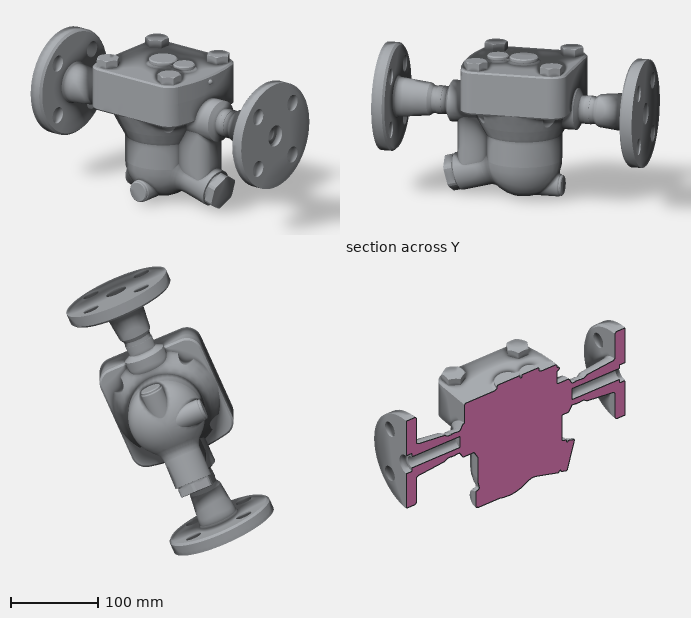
import cadquery as cq
import math


INLET_FACE_X = -144.5
OUTLET_FACE_X = 164.5
FLANGE_DIAMETER = 125.0
FLANGE_THICKNESS = 15.0
FLANGE_EDGE_CHAMFER = 2.5
BOLT_CIRCLE_DIAMETER = 88.9
BOLT_HOLE_DIAMETER = 19.0
NECK_ROOT_RADIUS = 24.5
NECK_LARGE_RADIUS = 23.0
NECK_SMALL_RADIUS = 19.0
NECK_ROOT_LENGTH = 2.2
NECK_TAPER_LENGTH = 36.7
NECK_SHOULDER_LENGTH = 4.5
PIPE_RADIUS = 16.0
WELD_RADIUS = 16.5
WELD_WIDTH = 6.4
WELD_GAP = 5.2
BOSS_RADIUS = 24.0
INLET_BOSS_END = 69.0
OUTLET_BOSS_END = 89.4
BOSS_CHAMFER_LENGTH = 4.6
SOCKET_DIAMETER = 25.0
SOCKET_DEPTH = 8.0
BORE_DIAMETER = 15.0

BLOCK_HALF_WIDTH = 62.5
BLOCK_CORNER_RADIUS = 17.5
COVER_CREST_X = 68.8
BLOCK_CREST_X = 67.0
COVER_TOP_Z = 52.0
SPLIT_Z = 30.0
BLOCK_BOTTOM_Z = 1.0
COVER_EDGE_CHAMFER = 1.8
BLOCK_EDGE_CHAMFER = 2.2

BOLT_OFFSET = 45.0
BOLT_ACROSS_FLATS = 24.0
BOLT_HEAD_HEIGHT = 9.3
BOLT_CHAMFER_ANGLE = math.radians(30)
BOLT_CUT_RADIUS = 10.0
BOLT_CUT_DEPTH = 30.0

CAP_HEIGHT = 6.4
CAP_RIM_CHAMFER = 1.3
CAP_FLARE = 3.2
MAIN_CAP_RADIUS = 16.5
SIDE_CAP_RADIUS = 12.5
SIDE_CAP_X = 30.7
CAP_BRIDGE_WIDTH = 14.0
CAP_BRIDGE_HEIGHT = 2.5

PIN_RADIUS = 3.0
PIN_Z = 44.5

BOWL_RADIUS = 44.0
BOWL_CENTRE_Z = -62.5
BOWL_TOP_Z = -32.5
CONE_MID_Z = -18.7
CONE_MID_RADIUS = 51.4
CONE_TOP_RADIUS = 62.4

RIB_WIDTH = 40.0
RIB_END_X = 75.9
RIB_EDGE_RADIUS = 11.5

STRAINER_TILT = 15.0
STRAINER_RADIUS = 22.0
STRAINER_LENGTH = 79.5
STRAINER_FILLET = 16.0
STRAINER_GROOVE_RADIUS = 19.0
STRAINER_GROOVE_WIDTH = 1.7
STRAINER_CAP_LENGTH = 10.0
STRAINER_CAP_ACROSS_FLATS = 38.0
STRAINER_CAP_CORNER_RADIUS = 21.0

PLUG_BOSS_RADIUS = 13.0
PLUG_BOSS_REACH = 44.0
PLUG_BOSS_ROUND = 1.9
PLUG_RADIUS = 12.0
PLUG_REACH = 46.7
PLUG_CHAMFER = 1.0
PLUG_Z = -91.8
INLET_PLUG_FILLET = 2.5


def pipe_end(face_x, boss_end_x):
    """Boss, weld neck and flange, from the block out to the flange face."""
    out = math.copysign(1, face_x)
    flange_back = abs(face_x) - FLANGE_THICKNESS
    taper_end = flange_back - NECK_ROOT_LENGTH
    taper_start = taper_end - NECK_TAPER_LENGTH
    shoulder_start = taper_start - NECK_SHOULDER_LENGTH
    weld_end = shoulder_start - WELD_GAP
    weld_start = weld_end - WELD_WIDTH
    flange_radius = FLANGE_DIAMETER / 2
    profile = [
        (0, 0),
        (0, BOSS_RADIUS),
        (boss_end_x - BOSS_CHAMFER_LENGTH, BOSS_RADIUS),
        (boss_end_x, PIPE_RADIUS),
        (weld_start, PIPE_RADIUS),
        (weld_start, WELD_RADIUS),
        (weld_end, WELD_RADIUS),
        (weld_end, PIPE_RADIUS),
        (shoulder_start, PIPE_RADIUS),
        (taper_start, NECK_SMALL_RADIUS),
        (taper_end, NECK_LARGE_RADIUS),
        (flange_back, NECK_ROOT_RADIUS),
        (flange_back, flange_radius - FLANGE_EDGE_CHAMFER),
        (flange_back + FLANGE_EDGE_CHAMFER, flange_radius),
        (abs(face_x), flange_radius),
        (abs(face_x), 0),
    ]
    points = [(out * x, r) for x, r in profile]
    return cq.Workplane("XZ").polyline(points).close().revolve(360, (0, 0, 0), (1, 0, 0))


def pipe_openings(face_x, boss_end_x):
    """Bolt holes, socket and bore of one flange, as a cutting solid."""
    out = math.copysign(1, face_x)
    face = cq.Workplane("YZ", origin=(face_x, 0, 0))
    pitch = BOLT_CIRCLE_DIAMETER / math.sqrt(2)
    holes = face.rect(pitch, pitch, forConstruction=True).vertices()
    holes = holes.circle(BOLT_HOLE_DIAMETER / 2).extrude(-out * FLANGE_THICKNESS)
    socket = face.circle(SOCKET_DIAMETER / 2).extrude(-out * SOCKET_DEPTH)
    bore = face.circle(BORE_DIAMETER / 2).extrude(-out * (abs(face_x) - boss_end_x))
    return holes.union(socket).union(bore)


def block_outline(z, crest_x):
    """Rounded square whose +X side bows out to crest_x, tangent to its corners."""
    half = BLOCK_HALF_WIDTH
    radius = BLOCK_CORNER_RADIUS
    corner = half - radius
    setback = crest_x - corner
    bow_radius = (setback ** 2 + corner ** 2 - radius ** 2) / (2 * (setback - radius))
    bow_angle = math.asin(corner / (bow_radius - radius))
    corner_angle = (math.pi / 2 + bow_angle) / 2
    shoulder_x = corner + radius * math.cos(bow_angle)
    shoulder_y = corner + radius * math.sin(bow_angle)
    corner_x = corner + radius * math.cos(corner_angle)
    corner_y = corner + radius * math.sin(corner_angle)
    diagonal = corner + radius * math.sqrt(0.5)
    return (
        cq.Workplane("XY", origin=(0, 0, z))
        .moveTo(-corner, -half)
        .lineTo(corner, -half)
        .threePointArc((corner_x, -corner_y), (shoulder_x, -shoulder_y))
        .threePointArc((crest_x, 0), (shoulder_x, shoulder_y))
        .threePointArc((corner_x, corner_y), (corner, half))
        .lineTo(-corner, half)
        .threePointArc((-diagonal, diagonal), (-half, corner))
        .lineTo(-half, -corner)
        .threePointArc((-diagonal, -diagonal), (-corner, -half))
        .close()
    )


def block():
    """Straight cover on a body whose +X side tapers inwards towards its base."""
    cover = block_outline(SPLIT_Z, COVER_CREST_X).extrude(COVER_TOP_Z - SPLIT_Z)
    cover = cover.faces(">Z").chamfer(COVER_EDGE_CHAMFER)
    upper = block_outline(SPLIT_Z, COVER_CREST_X).val()
    lower = block_outline(BLOCK_BOTTOM_Z, BLOCK_CREST_X).val()
    body = cq.Workplane(cq.Solid.makeLoft([upper, lower], True))
    body = body.faces("<Z").chamfer(BLOCK_EDGE_CHAMFER)
    return cover.union(body)


def cover_bolts():
    """Hexagon heads trimmed by a cone; diagonal neighbours share the same orientation."""
    cone_base_radius = BOLT_ACROSS_FLATS / 2 + BOLT_HEAD_HEIGHT / math.tan(BOLT_CHAMFER_ANGLE)
    bolts = cq.Workplane("XY")
    for sx in (-1, 1):
        for sy in (-1, 1):
            turn = 30 if sx == sy else 0
            hexagon = (
                cq.Workplane("XY", origin=(sx * BOLT_OFFSET, sy * BOLT_OFFSET, COVER_TOP_Z))
                .transformed(rotate=(0, 0, turn))
                .polygon(6, BOLT_ACROSS_FLATS, circumscribed=True)
                .extrude(BOLT_HEAD_HEIGHT)
            )
            cone = (
                cq.Workplane("XZ", origin=(sx * BOLT_OFFSET, sy * BOLT_OFFSET, COVER_TOP_Z))
                .lineTo(cone_base_radius, 0)
                .lineTo(BOLT_ACROSS_FLATS / 2, BOLT_HEAD_HEIGHT)
                .lineTo(0, BOLT_HEAD_HEIGHT)
                .close()
                .revolve(360, (0, 0, 0), (0, 1, 0))
            )
            bolts = bolts.union(hexagon.intersect(cone))
    return bolts


def cap(x, radius):
    """Round cap with a flared foot and a chamfered rim."""
    profile = [
        (0, 0),
        (radius + CAP_FLARE, 0),
        (radius, CAP_FLARE / 2),
        (radius, CAP_HEIGHT - CAP_RIM_CHAMFER),
        (radius - CAP_RIM_CHAMFER, CAP_HEIGHT),
        (0, CAP_HEIGHT),
    ]
    plane = cq.Workplane("XZ", origin=(x, 0, COVER_TOP_Z))
    return plane.polyline(profile).close().revolve(360, (0, 0, 0), (0, 1, 0))


def cover_caps():
    """Two caps joined by a low bridge."""
    bridge = cq.Workplane("XY", origin=(SIDE_CAP_X / 2, 0, COVER_TOP_Z))
    bridge = bridge.rect(SIDE_CAP_X, CAP_BRIDGE_WIDTH).extrude(CAP_BRIDGE_HEIGHT)
    return cap(0, MAIN_CAP_RADIUS).union(cap(SIDE_CAP_X, SIDE_CAP_RADIUS)).union(bridge)


def locating_pin():
    return cq.Workplane("XY", origin=(COVER_CREST_X, 0, PIN_Z)).sphere(PIN_RADIUS)


def bowl():
    """Cone, cylinder and hemisphere, with room for the cover bolts."""
    shell = (
        cq.Workplane("XZ")
        .moveTo(0, BLOCK_BOTTOM_Z + BLOCK_EDGE_CHAMFER)
        .lineTo(CONE_TOP_RADIUS, BLOCK_BOTTOM_Z + BLOCK_EDGE_CHAMFER)
        .lineTo(CONE_MID_RADIUS, CONE_MID_Z)
        .lineTo(BOWL_RADIUS, BOWL_TOP_Z)
        .lineTo(BOWL_RADIUS, BOWL_CENTRE_Z)
        .radiusArc((0, BOWL_CENTRE_Z - BOWL_RADIUS), BOWL_RADIUS)
        .close()
        .revolve(360, (0, 0, 0), (0, 1, 0))
    )
    corners = cq.Workplane("XY", origin=(0, 0, BLOCK_BOTTOM_Z))
    corners = corners.rect(2 * BOLT_OFFSET, 2 * BOLT_OFFSET, forConstruction=True).vertices()
    return shell.cut(corners.circle(BOLT_CUT_RADIUS).extrude(-BOLT_CUT_DEPTH))


def rib():
    """Upright web from the pipe axis down into the strainer boss."""
    height = STRAINER_RADIUS / 2 - BOWL_CENTRE_Z
    web = cq.Workplane("XY", origin=(RIB_END_X / 2, 0, 0))
    web = web.rect(RIB_END_X, RIB_WIDTH).extrude(-height)
    return web.edges("|Z and >X").fillet(RIB_EDGE_RADIUS)


def strainer():
    """Inclined boss blended into the bowl sphere, closed by a hexagon cap."""
    fillet_r = STRAINER_RADIUS + STRAINER_FILLET
    fillet_x = math.sqrt((BOWL_RADIUS + STRAINER_FILLET) ** 2 - fillet_r ** 2)
    on_sphere = BOWL_RADIUS / (BOWL_RADIUS + STRAINER_FILLET)
    boss = (
        cq.Workplane("XZ")
        .lineTo(fillet_x * on_sphere, fillet_r * on_sphere)
        .radiusArc((fillet_x, STRAINER_RADIUS), -STRAINER_FILLET)
        .lineTo(STRAINER_LENGTH, STRAINER_RADIUS)
        .lineTo(STRAINER_LENGTH, 0)
        .close()
        .revolve(360, (0, 0, 0), (1, 0, 0))
    )
    end = cq.Workplane("YZ", origin=(STRAINER_LENGTH, 0, 0))
    groove = end.circle(STRAINER_GROOVE_RADIUS).extrude(STRAINER_GROOVE_WIDTH)
    cap_base = end.workplane(offset=STRAINER_GROOVE_WIDTH)
    hexagon = cap_base.polygon(6, STRAINER_CAP_ACROSS_FLATS, circumscribed=True).extrude(STRAINER_CAP_LENGTH)
    corner_trim = cap_base.circle(STRAINER_CAP_CORNER_RADIUS).extrude(STRAINER_CAP_LENGTH)
    boss = boss.union(groove).union(hexagon.intersect(corner_trim))
    return boss.rotate((0, 0, 0), (0, 1, 0), STRAINER_TILT).translate((0, 0, BOWL_CENTRE_Z))


def drain_plug():
    """Boss with a rounded end and a closing plug, from the bowl axis out along -X."""
    base = cq.Workplane("YZ", origin=(0, 0, PLUG_Z))
    boss = base.circle(PLUG_BOSS_RADIUS).extrude(-PLUG_BOSS_REACH).faces("<X").fillet(PLUG_BOSS_ROUND)
    plug = base.circle(PLUG_RADIUS).extrude(-PLUG_REACH).faces("<X").chamfer(PLUG_CHAMFER)
    return boss.union(plug)


result = bowl().union(drain_plug())
wall_edge = cq.selectors.NearestToPointSelector((-BOWL_RADIUS / 2, 0, PLUG_Z))
result = result.edges(wall_edge).fillet(INLET_PLUG_FILLET)
result = result.union(drain_plug().rotate((0, 0, 0), (0, 0, 1), 90))
result = result.union(block()).union(rib()).union(strainer())
result = result.union(pipe_end(INLET_FACE_X, INLET_BOSS_END))
result = result.union(pipe_end(OUTLET_FACE_X, OUTLET_BOSS_END))
result = result.union(cover_bolts()).union(cover_caps())
result = result.union(locating_pin())
result = result.cut(pipe_openings(INLET_FACE_X, INLET_BOSS_END))
result = result.cut(pipe_openings(OUTLET_FACE_X, OUTLET_BOSS_END))